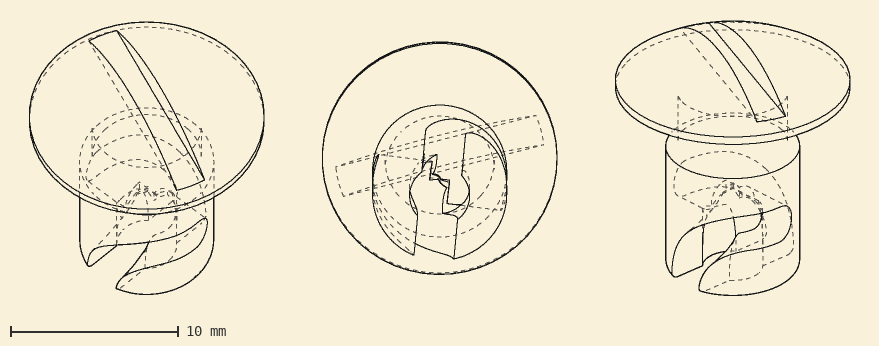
import cadquery as cq
import math

HEAD_RADIUS = 7.0
UNDERSIDE_Z = 12.22
RIM_HEIGHT = 0.51
DOME_RADIUS = 12.01
NECK_RADIUS = 3.25
BODY_RADIUS = 4.0
BODY_HEIGHT = 8.2
FILLET_RADIUS = 0.5

DRIVER_SLOT_WIDTH = 1.84
DRIVER_SLOT_FLOOR_Z = 13.24

CAM_WIDTH = 2.39
CAM_RISE = 4.42
CAM_END_ANGLE = -22.0
CAM_ARC_ANGLE = 6.8
CAM_INNER_RADIUS = 0.06
CAM_END_INNER_RADIUS = 0.6
CAM_OUTER_RADIUS = 4.78
CAM_OVERRUN = 0.9
LEVEL_STEPS = 3
ARC_STEPS = 8

BORE_RADIUS = 1.8
BORE_STRAIGHT_DEPTH = 3.93
BORE_TIP_Z = 5.36


def turned_blank():
    """Revolve the head, neck and body about Z."""
    rim_z = UNDERSIDE_Z + RIM_HEIGHT
    dome_center_z = rim_z - math.sqrt(DOME_RADIUS**2 - HEAD_RADIUS**2)
    mid_radius = HEAD_RADIUS / 2
    mid_z = dome_center_z + math.sqrt(DOME_RADIUS**2 - mid_radius**2)
    r = FILLET_RADIUS
    profile = (
        cq.Workplane("XZ")
        .lineTo(BODY_RADIUS - r, 0)
        .radiusArc((BODY_RADIUS, r), -r)
        .lineTo(BODY_RADIUS, BODY_HEIGHT)
        .lineTo(NECK_RADIUS + r, BODY_HEIGHT)
        .radiusArc((NECK_RADIUS, BODY_HEIGHT + r), r)
        .lineTo(NECK_RADIUS, UNDERSIDE_Z - r)
        .radiusArc((NECK_RADIUS + r, UNDERSIDE_Z), r)
        .lineTo(HEAD_RADIUS, UNDERSIDE_Z)
        .lineTo(HEAD_RADIUS, rim_z)
        .threePointArc((mid_radius, mid_z), (0, dome_center_z + DOME_RADIUS))
        .close()
    )
    return profile.revolve(360, (0, 0, 0), (0, 1, 0))


def driver_slot():
    """Straight screwdriver slot across the dome along X."""
    floor = cq.Workplane("XY").workplane(offset=DRIVER_SLOT_FLOOR_Z)
    return floor.rect(2 * HEAD_RADIUS, DRIVER_SLOT_WIDTH).extrude(HEAD_RADIUS)


def radial_direction(angle):
    """Unit vector at an angle in degrees measured from -X toward +Y."""
    turn = math.radians(angle)
    return cq.Vector(-math.cos(turn), math.sin(turn), 0)


def slot_section(angle, height, slope):
    """Rectangle across the slot; slope is the path's downward angle in degrees."""
    radial = radial_direction(angle)
    tangent = radial_direction(angle + 90)
    tilt = math.radians(slope)
    across = tangent * math.sin(tilt) + cq.Vector(0, 0, math.cos(tilt))
    center = cq.Vector(0, 0, height)
    half = across * (CAM_WIDTH / 2)
    inner = center + radial * CAM_INNER_RADIUS
    outer = center + radial * CAM_OUTER_RADIUS
    corners = [inner - half, outer - half, outer + half, inner + half]
    return cq.Wire.makePolygon(corners, close=True)


def cam_slot():
    """One bayonet slot on the -X side, as a list of cutting solids."""
    level_turn = CAM_ARC_ANGLE - CAM_END_ANGLE
    level = [
        slot_section(CAM_END_ANGLE + level_turn * i / LEVEL_STEPS, CAM_RISE, 0)
        for i in range(LEVEL_STEPS + 1)
    ]

    curve = []
    for i in range(ARC_STEPS + 1):
        slope = 90 * i / ARC_STEPS
        travel = CAM_RISE * math.sin(math.radians(slope))
        angle = CAM_ARC_ANGLE + math.degrees(travel / BODY_RADIUS)
        height = CAM_RISE * math.cos(math.radians(slope))
        curve.append(slot_section(angle, height, slope))

    mouth_angle = CAM_ARC_ANGLE + math.degrees(CAM_RISE / BODY_RADIUS)
    mouth = [slot_section(mouth_angle, z, 90) for z in (0, -CAM_OVERRUN)]

    end_direction = radial_direction(CAM_END_ANGLE)
    round_end = cq.Solid.makeCylinder(
        CAM_WIDTH / 2,
        CAM_OUTER_RADIUS - CAM_END_INNER_RADIUS,
        cq.Vector(0, 0, CAM_RISE) + end_direction * CAM_END_INNER_RADIUS,
        end_direction,
    )
    return [cq.Solid.makeLoft(sections) for sections in (level, curve, mouth)] + [round_end]


def bore():
    """Blind drilled hole from the bottom with a conical tip."""
    profile = (
        cq.Workplane("XZ")
        .lineTo(BORE_RADIUS, 0)
        .lineTo(BORE_RADIUS, BORE_STRAIGHT_DEPTH)
        .lineTo(0, BORE_TIP_Z)
        .close()
    )
    return profile.revolve(360, (0, 0, 0), (0, 1, 0))


result = turned_blank().cut(driver_slot()).cut(bore())
for cutter in cam_slot():
    for turn in (0, 180):
        result = result.cut(cq.Workplane(cutter).rotate((0, 0, 0), (0, 0, 1), turn))